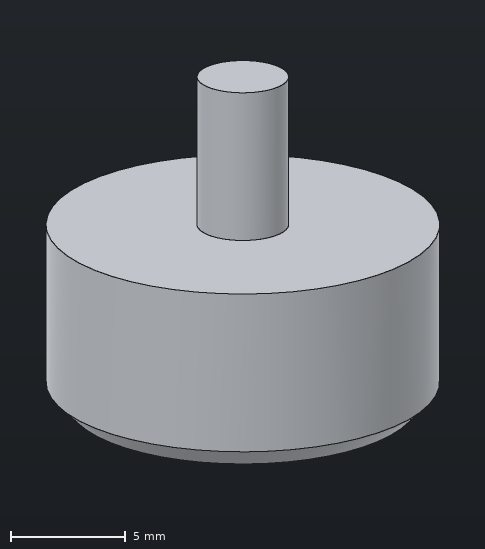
import cadquery as cq

total_height = 17.5
body_diameter = 17.2
pin_diameter = 4.0
pin_height = 6.9
chamfer_size = 0.93
tip_height = 2.31

body_radius = body_diameter / 2
pin_radius = pin_diameter / 2
tip_radius = body_radius - chamfer_size
shoulder_height = total_height - pin_height
chamfer_top = tip_height + chamfer_size

half_section = (
    cq.Workplane("XZ")
    .moveTo(0, 0)
    .lineTo(tip_radius, tip_height)
    .lineTo(body_radius, chamfer_top)
    .lineTo(body_radius, shoulder_height)
    .lineTo(pin_radius, shoulder_height)
    .lineTo(pin_radius, total_height)
    .lineTo(0, total_height)
    .close()
)

result = half_section.revolve(360, (0, 0, 0), (0, 1, 0))